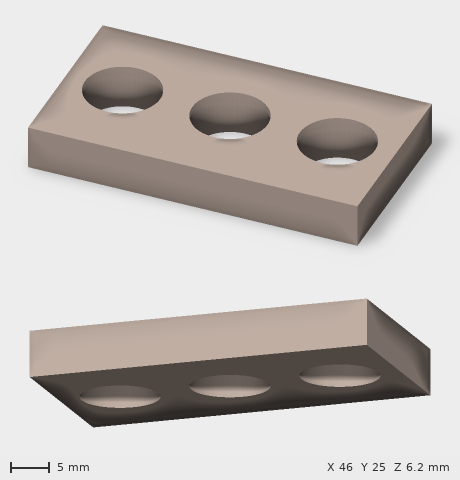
import cadquery as cq

length = 46.0
width = 25.0
thickness = 6.2

hole_diameter = 10.5
hole_pitch = 15.0
hole_count = 3

plate = cq.Workplane("XY").box(length, width, thickness)

result = (
    plate.faces(">Z")
    .workplane()
    .rarray(hole_pitch, 0.45, hole_count, 1)
    .hole(hole_diameter)
)